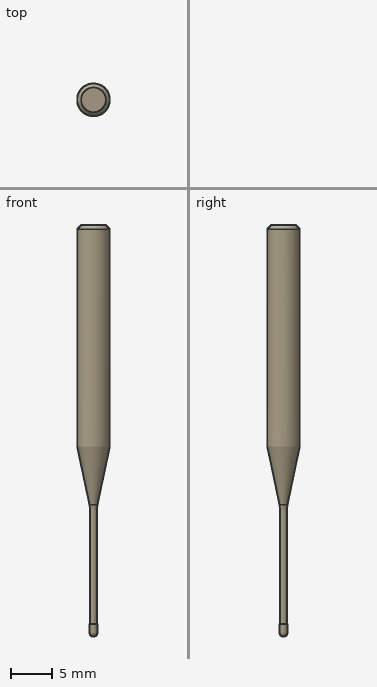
import cadquery as cq
import math


total_length = 50.0
shank_radius = 2.0
shank_start_z = 23.1
shank_chamfer = 0.5

ball_radius = 0.5
head_length = 1.5

neck_radius = 0.43
shoulder_height = 0.1

joint_z = 16.0

taper_angle = math.radians(12)
blend_radius = 6.0

corner_z = shank_start_z - (shank_radius - neck_radius) / math.tan(taper_angle)
blend_start_z = corner_z - blend_radius * math.tan(taper_angle / 2)
blend_end_z = blend_start_z + blend_radius * math.sin(taper_angle)


def blend_radius_at(z):
    """Distance from the axis to the blend arc at height z."""
    centre_offset = math.sqrt(blend_radius**2 - (z - blend_start_z) ** 2)
    return neck_radius + blend_radius - centre_offset


joint_radius = blend_radius_at(joint_z)
blend_end_radius = blend_radius_at(blend_end_z)


def revolve_about_axis(profile):
    """Turn a closed half profile, drawn as radius and height, into a solid around Z."""
    return profile.revolve(360, (0, 0, 0), (0, 1, 0))


def make_cutting_end():
    """Ball tip, short head and thin neck, up to the joint partway along the blend."""
    profile = (
        cq.Workplane("XZ")
        .moveTo(0, 0)
        .radiusArc((ball_radius, ball_radius), -ball_radius)
        .lineTo(ball_radius, head_length)
        .lineTo(neck_radius, head_length + shoulder_height)
        .lineTo(neck_radius, blend_start_z)
        .radiusArc((joint_radius, joint_z), blend_radius)
        .lineTo(0, joint_z)
        .close()
    )
    return revolve_about_axis(profile)


def make_shank():
    """Rest of the blend, the taper and the cylindrical shank with its chamfered end."""
    profile = (
        cq.Workplane("XZ")
        .moveTo(0, joint_z)
        .lineTo(joint_radius, joint_z)
        .radiusArc((blend_end_radius, blend_end_z), blend_radius)
        .lineTo(shank_radius, shank_start_z)
        .lineTo(shank_radius, total_length - shank_chamfer)
        .lineTo(shank_radius - shank_chamfer, total_length)
        .lineTo(0, total_length)
        .close()
    )
    return revolve_about_axis(profile)


cutting_end = make_cutting_end()
shank = make_shank()

result = cq.Compound.makeCompound([cutting_end.val(), shank.val()])